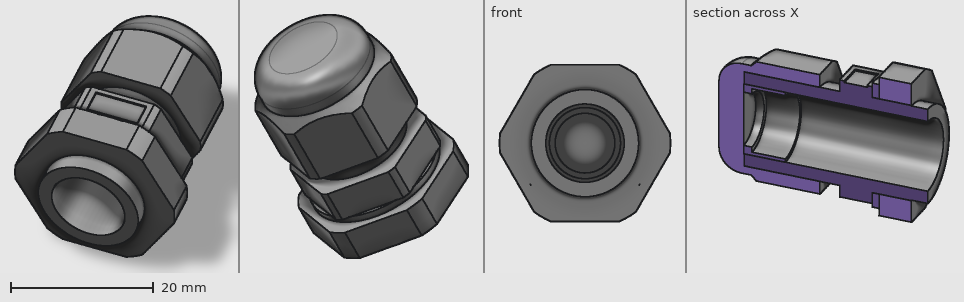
import cadquery as cq
import math

thread_length = 2.5
hex_length = 5.0
gasket_thickness = 1.02
neck_length = 3.0
overall_length = 32

nut_start = thread_length
gasket_start = nut_start + hex_length
body_hex_start = gasket_start + gasket_thickness
body_hex_end = body_hex_start + hex_length
cap_start = body_hex_end + neck_length

nut_flat = 11.0
nut_corner_radius = 12.0
body_flat = 9.3
body_corner_radius = 10.43
cap_flat = 9.5
cap_corner_radius = 10.5

thread_radius = 7.52
bore_radius = 5.5
gasket_radius = 9.9

dome_radius = 8.75
dome_round = 3.5
shoulder_end = 27.0
cap_cavity_end = 28.15

seal_length = 6.4
seal_radius = 5.0
seal_lip_radius = 4.2
seal_lip_thickness = 1.28

label_width = 7.55
label_length = 3.5
label_depth = 0.25


def cylinder(radius, start, end):
    """Cylinder on the Y axis between two stations."""
    return cq.Workplane("XZ", origin=(0, start, 0)).circle(radius).extrude(start - end)


def rounded_hexagon(flat, corner_radius, start, end):
    """Hexagonal prism with flats facing +Z and -Z and its corners turned to a radius."""
    corner_diameter = 2 * flat / math.cos(math.radians(30))
    prism = cq.Workplane("XZ", origin=(0, start, 0)).polygon(6, corner_diameter).extrude(start - end)
    return prism.intersect(cylinder(corner_radius, start, end))


def make_locknut():
    nut = rounded_hexagon(nut_flat, nut_corner_radius, nut_start, gasket_start)
    return nut.cut(cylinder(thread_radius, nut_start, gasket_start))


def make_gasket():
    ring = cylinder(gasket_radius, gasket_start, body_hex_start)
    return ring.cut(cylinder(thread_radius, gasket_start, body_hex_start))


def make_body():
    """Threaded tube with a hexagon in the middle and a label panel on its top flat."""
    tube = cylinder(thread_radius, 0, cap_cavity_end)
    hexagon = rounded_hexagon(body_flat, body_corner_radius, body_hex_start, body_hex_end)
    bore = cylinder(bore_radius, 0, cap_cavity_end)
    label_center = (body_hex_start + body_hex_end) / 2
    label = (
        cq.Workplane("XY", origin=(0, label_center, body_flat))
        .rect(label_width, label_length)
        .extrude(-label_depth)
    )
    return tube.union(hexagon).cut(bore).cut(label)


def make_cap():
    """Hexagonal cap nut with a sloped shoulder and a closed, rounded end."""
    hexagon = rounded_hexagon(cap_flat, cap_corner_radius, cap_start, shoulder_end)
    shoulder_height = cap_corner_radius - dome_radius
    envelope = cylinder(cap_corner_radius, cap_start, shoulder_end).faces(">Y").chamfer(shoulder_height)
    dome = cylinder(dome_radius, cap_start, overall_length).faces(">Y").edges().fillet(dome_round)
    cavity = cylinder(thread_radius, cap_start, cap_cavity_end)
    return hexagon.intersect(envelope).union(dome).cut(cavity)


def make_seal():
    """Sleeve that fills the far end of the body bore and rests against the cap."""
    seal_start = cap_cavity_end - seal_length
    lip_start = cap_cavity_end - seal_lip_thickness
    sleeve = cylinder(bore_radius, seal_start, cap_cavity_end)
    passage = cylinder(seal_radius, seal_start, lip_start)
    lip_hole = cylinder(seal_lip_radius, lip_start, cap_cavity_end)
    return sleeve.cut(passage).cut(lip_hole)


locknut = make_locknut()
gasket = make_gasket()
body = make_body()
cap = make_cap()
seal = make_seal()

result = cq.Compound.makeCompound([locknut.val(), gasket.val(), body.val(), cap.val(), seal.val()])